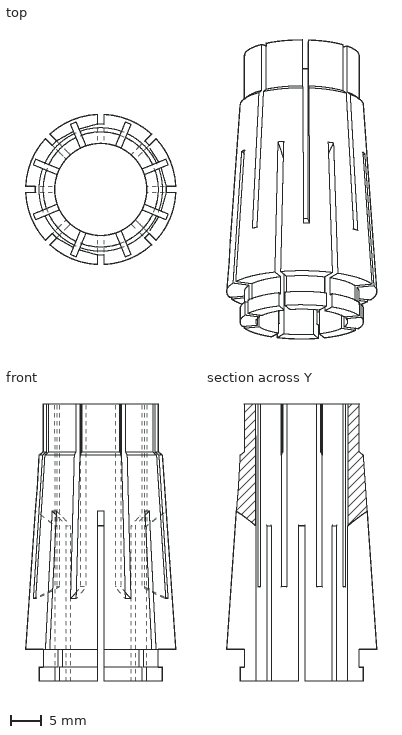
import cadquery as cq

total_height = 45.1
bore_radius = 7.5

lip_radius = 10.05
lip_height = 2.25
neck_radius = 9.35
cone_base_height = 5.15

cone_base_diameter = 24.5
cone_base_radius = cone_base_diameter / 2
cone_top_radius = lip_radius
shoulder_height = 36.75
shoulder_rise = 0.55
collar_base_height = shoulder_height + shoulder_rise
collar_radius = 9.4

slots_per_end = 8
slot_pitch = 360 / slots_per_end
slot_width = 1.0
disc_radius = 25.0
lower_disc_offset = 24.0
lower_disc_height = 6.5
upper_disc_offset = 20.0
upper_disc_height = 37.0


def sleeve():
    """Revolved wall: lip, groove, cone, chamfered shoulder and collar."""
    return (
        cq.Workplane("XZ")
        .moveTo(bore_radius, 0)
        .lineTo(lip_radius, 0)
        .lineTo(lip_radius, lip_height)
        .lineTo(neck_radius, lip_height)
        .lineTo(neck_radius, cone_base_height)
        .lineTo(cone_base_radius, cone_base_height)
        .lineTo(cone_top_radius, shoulder_height)
        .lineTo(collar_radius, collar_base_height)
        .lineTo(collar_radius, total_height)
        .lineTo(bore_radius, total_height)
        .close()
        .revolve(360, (0, 0, 0), (0, 1, 0))
    )


def slot_cutter(disc_offset, disc_height, open_end_height, angle):
    """Radial slot open at one end; its closed end is an arc of the disc's rim.

    disc_offset is the distance of the disc's centre from the part's axis.
    """
    inner_edge = disc_offset - disc_radius
    into_part = 1 if disc_height > open_end_height else -1
    arc_diagonal = disc_radius * 0.5 ** 0.5
    return (
        cq.Workplane("XZ")
        .moveTo(inner_edge, open_end_height)
        .lineTo(inner_edge, disc_height)
        .threePointArc(
            (disc_offset - arc_diagonal, disc_height + into_part * arc_diagonal),
            (disc_offset, disc_height + into_part * disc_radius),
        )
        .lineTo(disc_offset, open_end_height)
        .close()
        .extrude(slot_width / 2, both=True)
        .rotate((0, 0, 0), (0, 0, 1), angle)
    )


result = sleeve()
for index in range(slots_per_end):
    lower_angle = index * slot_pitch
    upper_angle = lower_angle + slot_pitch / 2
    result = result.cut(slot_cutter(lower_disc_offset, lower_disc_height, 0, lower_angle))
    result = result.cut(slot_cutter(upper_disc_offset, upper_disc_height, total_height, upper_angle))